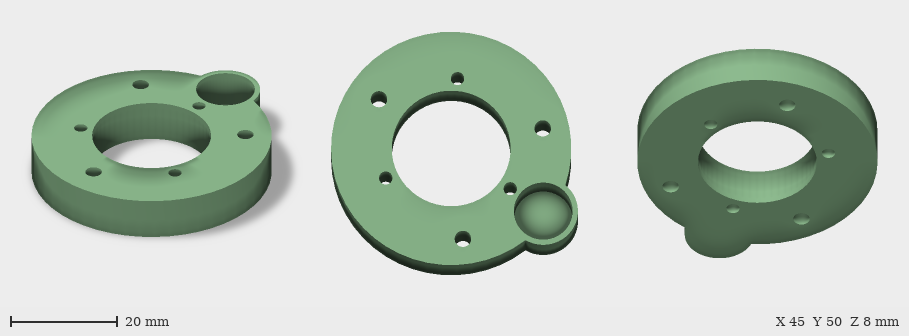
import cadquery as cq

overall_length = 50.05
thickness = 8.0
ring_diameter = 45.0
bore_diameter = 22.25

lug_reach = overall_length - ring_diameter / 2
cup_diameter = 11.0
cup_wall = 1.0
cup_floor = 1.0
lug_diameter = cup_diameter + 2 * cup_wall
lug_center = (0, lug_reach - lug_diameter / 2)

small_hole_diameter = 2.5
small_hole_circle_radius = 13.5
small_hole_count = 3
small_hole_first_angle = 90

large_hole_diameter = 3.1
rear_hole_y = -16.5
pair_half_spacing = 13.0
pair_y = 11.8
large_hole_centers = [(0, rear_hole_y), (-pair_half_spacing, pair_y), (pair_half_spacing, pair_y)]


def cylinder(diameter, center=(0, 0)):
    """Upright full-thickness cylinder standing on Z = 0."""
    return cq.Workplane("XY").center(*center).circle(diameter / 2).extrude(thickness)


body = cylinder(ring_diameter).union(cylinder(lug_diameter, lug_center))
bore = cylinder(bore_diameter)
cup = cylinder(cup_diameter, lug_center).translate((0, 0, cup_floor))

small_holes = (
    cq.Workplane("XY")
    .polarArray(small_hole_circle_radius, small_hole_first_angle, 360, small_hole_count)
    .circle(small_hole_diameter / 2)
    .extrude(thickness)
)
large_holes = (
    cq.Workplane("XY")
    .pushPoints(large_hole_centers)
    .circle(large_hole_diameter / 2)
    .extrude(thickness)
)

result = body.cut(bore).cut(cup).cut(small_holes).cut(large_holes)